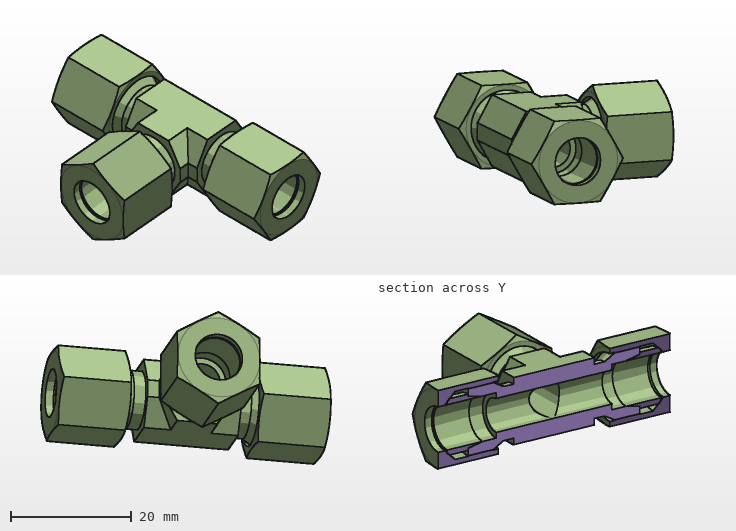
import cadquery as cq
import math


arm_length = 23.0
nut_across_corners = 16.2
nut_length = 12.0
nut_face_radius = 6.95
nut_chamfer_angle = 15.0
nut_lip_length = 1.4
nut_seat_angle = 45.0

tube_radius = 4.0
bore_radius = 3.0
thread_radius = 6.03
neck_radius = 4.88
flare_angle = 30.0

block_length = 8.0
block_half_width = 6.03
block_half_height = 6.03
block_top_half_width = 3.45
block_side_half_height = 1.45
neck_end = 10.0
stub_end = 17.0
socket_floor = 11.5

ferrule_back_gap = 0.4
ferrule_collar_radius = 5.05
ferrule_mouth_radius = 4.6
ferrule_cone_angle = 12.0

nut_back = arm_length - nut_length
nut_corner_radius = nut_across_corners / 2
nut_chamfer_depth = (nut_corner_radius - nut_face_radius) * math.tan(math.radians(nut_chamfer_angle))
nut_lip_end = arm_length - nut_lip_length
nut_seat_slope = math.tan(math.radians(nut_seat_angle))
nut_seat_end = nut_lip_end - (thread_radius - tube_radius) / nut_seat_slope
flare_end = neck_end + (thread_radius - neck_radius) / math.tan(math.radians(flare_angle))
ferrule_tip = stub_end - (ferrule_mouth_radius - tube_radius) / math.tan(math.radians(ferrule_cone_angle))
ferrule_back = nut_lip_end - ferrule_back_gap
ferrule_back_radius = tube_radius + ferrule_back_gap * nut_seat_slope
ferrule_collar_back = nut_lip_end - (ferrule_collar_radius - tube_radius) / nut_seat_slope

run_turns = (0, 180)
branch_turn = -90
arm_turns = (*run_turns, branch_turn)


def turned(profile):
    """Revolve a (station, radius) outline about the X axis."""
    return cq.Workplane("XY").polyline(profile).close().revolve(360, (0, 0, 0), (1, 0, 0))


def on_arm(shape, turn):
    """Swing a shape built along +X onto one arm of the tee."""
    return shape.rotate((0, 0, 0), (0, 0, 1), turn)


def block_section():
    """Block cross-section: a rectangle with four steeply bevelled corners."""
    return [
        (block_half_width, block_side_half_height),
        (block_top_half_width, block_half_height),
        (-block_top_half_width, block_half_height),
        (-block_half_width, block_side_half_height),
        (-block_half_width, -block_side_half_height),
        (-block_top_half_width, -block_half_height),
        (block_top_half_width, -block_half_height),
        (block_half_width, -block_side_half_height),
    ]


def make_block():
    section = block_section()
    run = cq.Workplane("YZ").polyline(section).close().extrude(block_length, both=True)
    branch = cq.Workplane("XZ").polyline(section).close().extrude(block_length)
    return run.union(branch)


def make_stub():
    """Neck that flares out to the threaded end."""
    return turned([
        (0, 0),
        (0, neck_radius),
        (neck_end, neck_radius),
        (flare_end, thread_radius),
        (stub_end, thread_radius),
        (stub_end, 0),
    ])


def make_passage():
    """Bore, tube socket and ferrule cone of one arm."""
    return turned([
        (0, 0),
        (0, bore_radius),
        (socket_floor, bore_radius),
        (socket_floor, tube_radius),
        (ferrule_tip, tube_radius),
        (stub_end, ferrule_mouth_radius),
        (stub_end, 0),
    ])


def make_tee_body():
    body = make_block()
    for turn in arm_turns:
        body = body.union(on_arm(make_stub(), turn))
    for turn in arm_turns:
        body = body.cut(on_arm(make_passage(), turn))
    return body


def make_nut():
    prism = (
        cq.Workplane("YZ", origin=(nut_back, 0, 0))
        .polygon(6, nut_across_corners)
        .extrude(nut_length)
    )
    chamfered_envelope = turned([
        (nut_back, 0),
        (nut_back, nut_face_radius),
        (nut_back + nut_chamfer_depth, nut_corner_radius),
        (arm_length - nut_chamfer_depth, nut_corner_radius),
        (arm_length, nut_face_radius),
        (arm_length, 0),
    ])
    cavity = turned([
        (nut_back, 0),
        (nut_back, thread_radius),
        (nut_seat_end, thread_radius),
        (nut_lip_end, tube_radius),
        (arm_length, tube_radius),
        (arm_length, 0),
    ])
    return prism.intersect(chamfered_envelope).cut(cavity)


def make_ferrule():
    return turned([
        (ferrule_tip, tube_radius),
        (stub_end, ferrule_mouth_radius),
        (stub_end, ferrule_collar_radius),
        (ferrule_collar_back, ferrule_collar_radius),
        (ferrule_back, ferrule_back_radius),
        (ferrule_back, tube_radius),
    ])


tee_body = make_tee_body()

nuts = [on_arm(make_nut(), turn) for turn in run_turns]
nuts.append(on_arm(make_nut().rotate((0, 0, 0), (1, 0, 0), 90), branch_turn))

ferrules = [on_arm(make_ferrule(), turn) for turn in arm_turns]

result = cq.Compound.makeCompound([
    tee_body.val(),
    *[nut.val() for nut in nuts],
    *[ferrule.val() for ferrule in ferrules],
])